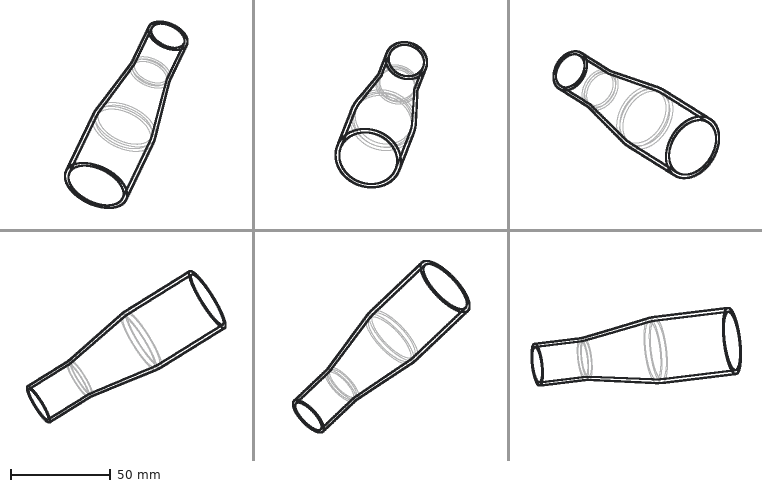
import cadquery as cq
import math

length = 102.0
large_outer_radius = 33.7 / 2
large_inner_radius = 29.7 / 2
small_outer_radius = 21.3 / 2
small_inner_radius = 18.1 / 2

large_bend_station = 40.0
small_bend_station = 77.1

large_bend_tangent = 1.4
small_bend_tangent = 0.9


def wall_surface(large_radius, small_radius):
    """Solid of revolution: large cylinder, bend, cone, bend, small cylinder."""
    slope_angle = math.atan2(large_radius - small_radius, small_bend_station - large_bend_station)

    def on_cone(radius, station, distance):
        """Point at a distance along the cone wall from one of its corners."""
        return (radius - distance * math.sin(slope_angle), station + distance * math.cos(slope_angle))

    cone_start = on_cone(large_radius, large_bend_station, large_bend_tangent)
    cone_end = on_cone(small_radius, small_bend_station, -small_bend_tangent)

    return (
        cq.Workplane("XY")
        .lineTo(large_radius, 0)
        .lineTo(large_radius, large_bend_station - large_bend_tangent)
        .tangentArcPoint(cone_start, relative=False)
        .lineTo(*cone_end)
        .tangentArcPoint((small_radius, small_bend_station + small_bend_tangent), relative=False)
        .lineTo(small_radius, length)
        .lineTo(0, length)
        .close()
        .revolve(360, (0, 0, 0), (0, 1, 0))
    )


outer_body = wall_surface(large_outer_radius, small_outer_radius)
bore = wall_surface(large_inner_radius, small_inner_radius)

result = outer_body.cut(bore)